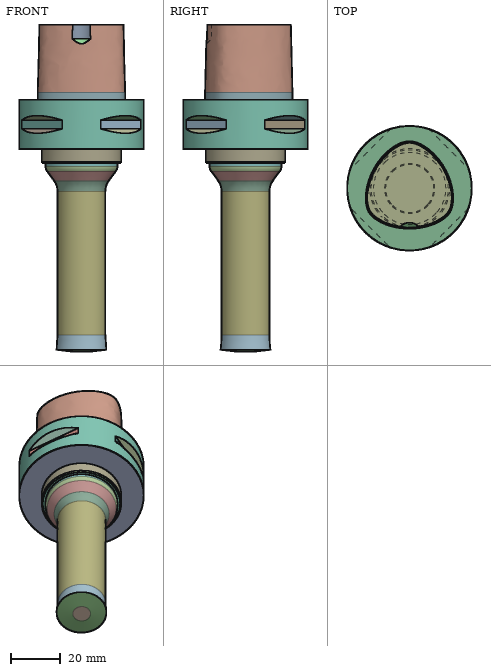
import cadquery as cq
import math


total_length = 131.0
shank_height = 30.0
collar_height = 3.0
base_mean_radius = 17.5
top_mean_radius = 16.9
lobe_height = 1.3
lobe_count = 3
outline_points = 36

notch_radius = 4.7
notch_offset = 18.5
notch_depth = 5.6

flange_radius = 50.0 / 2
flange_height = 19.9
flange_chamfer = 0.1
neck_radius = 32.0 / 2
neck_height = 5.5
neck_chamfer = 0.5

groove_count = 4
groove_floor_distance = 22.3
groove_floor_width = 3.4
groove_mouth_width = 7.1

head_radius = 29.0 / 2
stem_radius = 19.3 / 2
shoulder_blend = 3.3
stem_blend = 7.2
cone_top_drop = 2.4
cone_bottom_drop = 8.9
tip_radius = 20.0 / 2
tip_height = 6.8
tip_cone_height = 0.8
end_face_radius = 3.5

neck_bottom = -flange_height - neck_height
bar_bottom = shank_height - total_length


def lobed_wire(mean_radius, height):
    """Closed constant-width outline with one lobe pointing toward +Y."""
    def point(index):
        angle = 2 * math.pi * index / outline_points
        reach = mean_radius + lobe_height * math.cos(lobe_count * angle)
        swing = -lobe_count * lobe_height * math.sin(lobe_count * angle)
        along = reach * math.cos(angle) - swing * math.sin(angle)
        across = reach * math.sin(angle) + swing * math.cos(angle)
        return cq.Vector(-across, along, height)

    edge = cq.Edge.makeSpline([point(i) for i in range(outline_points)], periodic=True)
    return cq.Wire.assembleEdges([edge])


def make_shank():
    foot = lobed_wire(base_mean_radius, 0)
    collar_top = lobed_wire(base_mean_radius, collar_height)
    top = lobed_wire(top_mean_radius, shank_height)
    collar = cq.Workplane(obj=cq.Solid.makeLoft([foot, collar_top], True))
    taper = cq.Workplane(obj=cq.Solid.makeLoft([collar_top, top], True))
    return collar.union(taper)


def make_notch():
    """Vertical drilled hole that breaks out through the -Y side of the shank."""
    shoulder = shank_height - notch_depth
    tip = shoulder - notch_radius
    profile = [(0, tip), (notch_radius, shoulder), (notch_radius, shank_height), (0, shank_height)]
    drill = cq.Workplane("XZ").polyline(profile).close().revolve(360, (0, 0), (0, 1))
    return drill.translate((0, -notch_offset, 0))


def make_groove(direction):
    """Straight trapezoidal groove across the flange rim, facing the given angle."""
    middle = -flange_height / 2
    half_floor = groove_floor_width / 2
    half_mouth = groove_mouth_width / 2
    profile = [
        (groove_floor_distance, middle - half_floor),
        (flange_radius, middle - half_mouth),
        (flange_radius, middle + half_mouth),
        (groove_floor_distance, middle + half_floor),
    ]
    groove = cq.Workplane("XZ").polyline(profile).close().extrude(flange_radius, both=True)
    return groove.rotate((0, 0, 0), (0, 0, 1), direction)


def make_holder():
    flange = cq.Workplane("XY").circle(flange_radius).extrude(-flange_height)
    flange = flange.edges("%CIRCLE").chamfer(flange_chamfer)
    neck = cq.Workplane("XY").workplane(offset=-flange_height).circle(neck_radius).extrude(-neck_height)
    neck = neck.faces("<Z").edges().chamfer(neck_chamfer)
    holder = flange.union(neck).union(make_shank()).cut(make_notch())
    spacing = 360 / groove_count
    for index in range(groove_count):
        holder = holder.cut(make_groove(spacing * (index + 0.5)))
    return holder


def make_bar():
    cone_run = head_radius - stem_radius
    cone_drop = cone_bottom_drop - cone_top_drop
    cone_angle = math.atan2(cone_run, cone_drop)
    cone_top = neck_bottom - cone_top_drop
    cone_bottom = neck_bottom - cone_bottom_drop

    def blend(radius, corner_radius, corner_height, outward):
        """Start, middle and end of an arc tangent to a vertical line and the cone.

        Points run from the vertical line to the cone; outward is 1 for the
        rounded rim, -1 for the hollow above the stem.
        """
        reach = radius * math.tan(cone_angle / 2)
        centre_x = corner_radius - outward * radius
        centre_z = corner_height + outward * reach

        def at(angle):
            return (centre_x + outward * radius * math.cos(angle),
                    centre_z - outward * radius * math.sin(angle))

        return at(0), at(cone_angle / 2), at(cone_angle)

    rim_start, rim_middle, rim_end = blend(shoulder_blend, head_radius, cone_top, 1)
    stem_end, stem_middle, stem_start = blend(stem_blend, stem_radius, cone_bottom, -1)
    return (
        cq.Workplane("XZ")
        .moveTo(0, neck_bottom)
        .lineTo(head_radius, neck_bottom)
        .lineTo(*rim_start)
        .threePointArc(rim_middle, rim_end)
        .lineTo(*stem_start)
        .threePointArc(stem_middle, stem_end)
        .lineTo(stem_radius, bar_bottom + tip_height)
        .lineTo(tip_radius, bar_bottom + tip_cone_height)
        .lineTo(end_face_radius, bar_bottom)
        .lineTo(0, bar_bottom)
        .close()
        .revolve(360, (0, 0), (0, 1))
    )


holder = make_holder()
bar = make_bar()
result = cq.Compound.makeCompound([holder.val(), bar.val()])